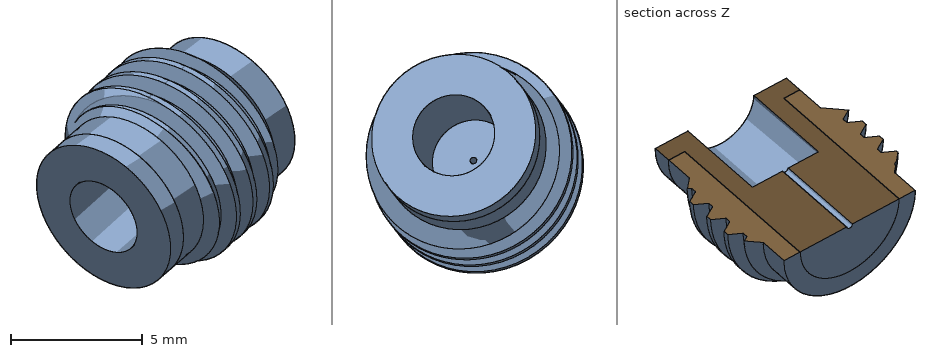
import cadquery as cq
import math

length = 7.94
major_radius = 3.97
collar_radius = 3.175

flange_thickness = 0.82
collar_length = 1.28
front_y = -length / 2
back_y = length / 2
joint_y = front_y + flange_thickness

pitch = 1.055
root_radius = 3.46
root_width = 0.22
flank_angle = 30.0
groove_phase = 0.865
turns_before_phase = 3
groove_turns = 5.5
cutter_clearance = 0.08

bore_radius = 1.59
bore_depth = 3.97
orifice_radius = 0.13
shank_radius = 2.38


def axial_cylinder(radius, start_y, end_y):
    """Cylinder on the Y axis between two Y positions."""
    return (
        cq.Workplane("XZ", origin=(0, start_y, 0))
        .circle(radius)
        .extrude(start_y - end_y)
    )


def make_groove():
    """Helical trapezoidal cutter that runs out through both end chamfers."""
    start_y = groove_phase - turns_before_phase * pitch
    outer_radius = major_radius + cutter_clearance
    half_root = root_width / 2
    half_mouth = half_root + (outer_radius - root_radius) * math.tan(math.radians(flank_angle))
    helix = cq.Wire.makeHelix(pitch, groove_turns * pitch, root_radius)
    groove = (
        cq.Workplane("XZ")
        .polyline([
            (root_radius, -half_root),
            (outer_radius, -half_mouth),
            (outer_radius, half_mouth),
            (root_radius, half_root),
        ])
        .close()
        .sweep(cq.Workplane(obj=helix), isFrenet=True)
    )
    return groove.rotate((0, 0, 0), (1, 0, 0), -90).translate((0, start_y, 0))


def make_sleeve():
    """Threaded sleeve with plain collars, 45-degree thread ends and a through bore."""
    chamfer = major_radius - collar_radius
    thread_front = joint_y + collar_length
    thread_back = back_y - collar_length
    blank = (
        cq.Workplane("YZ")
        .polyline([
            (joint_y, 0),
            (joint_y, collar_radius),
            (thread_front, collar_radius),
            (thread_front + chamfer, major_radius),
            (thread_back - chamfer, major_radius),
            (thread_back, collar_radius),
            (back_y, collar_radius),
            (back_y, 0),
        ])
        .close()
        .revolve(360, (0, 0, 0), (1, 0, 0))
    )
    return blank.cut(make_groove()).cut(axial_cylinder(shank_radius, joint_y, back_y))


def make_insert():
    """Flanged insert filling the sleeve, with a blind bore and a fine through orifice."""
    flange = axial_cylinder(collar_radius, front_y, joint_y)
    shank = axial_cylinder(shank_radius, joint_y, back_y)
    bore = axial_cylinder(bore_radius, front_y, front_y + bore_depth)
    orifice = axial_cylinder(orifice_radius, front_y, back_y)
    return flange.union(shank).cut(bore).cut(orifice)


sleeve = make_sleeve()
insert = make_insert()

result = cq.Compound.makeCompound([sleeve.solids().val(), insert.solids().val()])